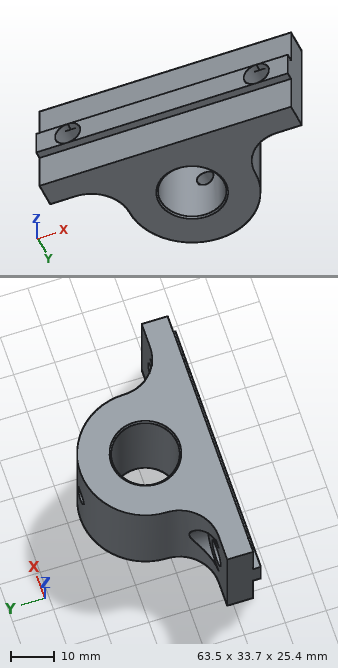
import cadquery as cq

INCH = 25.4

base_length = 2.5 * INCH
part_height = 1.0 * INCH
base_thickness = 0.25 * INCH
tongue_depth = 0.075 * INCH
tongue_width = 0.25 * INCH

boss_radius = 0.625 * INCH
axis_to_base = 0.375 * INCH
bore_diameter = 0.625 * INCH
bore_chamfer = 0.4

mount_spacing = 1.875 * INCH
mount_hole_diameter = 0.25 * INCH
spotface_diameter = 13.0

oil_hole_diameter = 4.2

half_length = base_length / 2
base_back_y = -axis_to_base
base_front_y = base_back_y - base_thickness
tongue_front_y = base_front_y - tongue_depth
blend_radius = axis_to_base
blend_end_x = boss_radius + blend_radius
blend_mid_offset = blend_radius * 0.5**0.5


def make_body():
    """Flange and round boss joined by concave quarter-circle blends."""
    blend_mid_x = blend_end_x - blend_mid_offset
    blend_mid_y = -blend_mid_offset
    return (
        cq.Workplane("XY")
        .workplane(offset=-part_height / 2)
        .moveTo(-half_length, base_front_y)
        .lineTo(half_length, base_front_y)
        .lineTo(half_length, base_back_y)
        .lineTo(blend_end_x, base_back_y)
        .threePointArc((blend_mid_x, blend_mid_y), (boss_radius, 0))
        .threePointArc((0, boss_radius), (-boss_radius, 0))
        .threePointArc((-blend_mid_x, blend_mid_y), (-blend_end_x, base_back_y))
        .lineTo(-half_length, base_back_y)
        .close()
        .extrude(part_height)
    )


def make_tongue():
    """Locating tongue along the full length of the mounting face."""
    tongue = cq.Workplane("XY").box(base_length, tongue_depth, tongue_width)
    return tongue.translate((0, base_front_y - tongue_depth / 2, 0))


def cylinder_along_y(x, start_y, end_y, diameter):
    """Cylinder parallel to Y at mid height."""
    start = cq.Vector(x, start_y, 0)
    cylinder = cq.Solid.makeCylinder(diameter / 2, end_y - start_y, start, cq.Vector(0, 1, 0))
    return cq.Workplane("XY").add(cylinder)


def make_bore():
    """Through bore with a chamfer at both ends."""
    bore = cq.Workplane("XY").circle(bore_diameter / 2).extrude(part_height / 2, both=True)
    mouth_radius = bore_diameter / 2 + bore_chamfer
    for side in (-1, 1):
        cone = cq.Solid.makeCone(
            mouth_radius,
            bore_diameter / 2,
            bore_chamfer,
            cq.Vector(0, 0, side * part_height / 2),
            cq.Vector(0, 0, -side),
        )
        bore = bore.union(cq.Workplane("XY").add(cone))
    return bore


def make_mounting_hole(x):
    """Screw hole through flange and tongue, with a spotface cut into the blend above it."""
    hole = cylinder_along_y(x, tongue_front_y, base_back_y, mount_hole_diameter)
    spotface = cylinder_along_y(x, base_back_y, boss_radius, spotface_diameter)
    return hole.union(spotface)


def make_oil_hole():
    """Radial hole from the bore axis out through the crown of the boss."""
    return cylinder_along_y(0, 0, boss_radius, oil_hole_diameter)


result = make_body().union(make_tongue())
result = result.cut(make_bore())
for hole_x in (-mount_spacing / 2, mount_spacing / 2):
    result = result.cut(make_mounting_hole(hole_x))
result = result.cut(make_oil_hole())